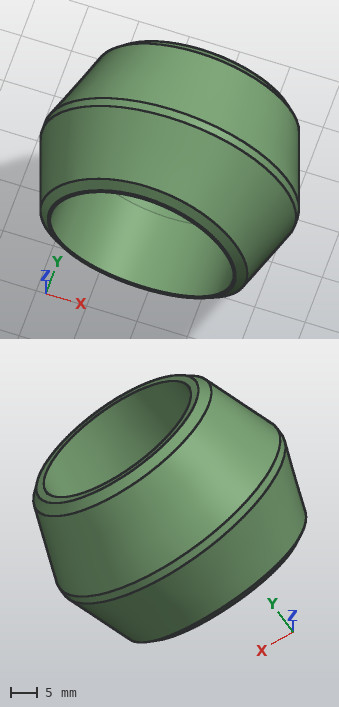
import cadquery as cq

band_diameter = 50.8
overall_length = 34.38

end_face_diameter = 36.7
end_bevel_diameter = 40.3
end_bevel_length = 1.7
band_start = 17.15
band_width = 1.75
cone_slope = (band_diameter - end_bevel_diameter) / 2 / (band_start - end_bevel_length)

bore_diameter = 36.5
end_bore_diameter = 33.3
taper_length = band_start + band_width / 2

saddle_radius = 161.9
saddle_chamfer = 1.45
saddle_rise = 1.08


def make_blank():
    """Solid of revolution about Y; the flat end lies at y = 0 and the body runs to -Y."""
    band_end = band_start + band_width
    blank_length = overall_length + saddle_rise
    blank_end_radius = band_diameter / 2 - cone_slope * (blank_length - band_end)
    return (
        cq.Workplane("ZY")
        .lineTo(end_face_diameter / 2, 0)
        .lineTo(end_bevel_diameter / 2, -end_bevel_length)
        .lineTo(band_diameter / 2, -band_start)
        .lineTo(band_diameter / 2, -band_end)
        .lineTo(blank_end_radius, -blank_length)
        .lineTo(0, -blank_length)
        .close()
        .revolve(360, (0, 0, 0), (0, 1, 0))
    )


def make_run_pipe():
    """Cylinder along Z whose crest cuts the saddle."""
    crest_y = -overall_length + saddle_rise
    return (
        cq.Workplane("XY")
        .center(0, crest_y - saddle_radius)
        .circle(saddle_radius)
        .extrude(band_diameter, both=True)
    )


def make_bore():
    """Straight bore with a conical reduction at the flat end."""
    bore_end = overall_length + saddle_rise
    return (
        cq.Workplane("XY")
        .lineTo(end_bore_diameter / 2, 0)
        .lineTo(bore_diameter / 2, -taper_length)
        .lineTo(bore_diameter / 2, -bore_end)
        .lineTo(0, -bore_end)
        .close()
        .revolve(360, (0, 0, 0), (0, 1, 0))
    )


def make_saddled_body():
    """Blank fitted to the run pipe, with its outer saddle edge bevelled."""
    body = make_blank().cut(make_run_pipe())
    return body.faces("<Y").edges().chamfer(saddle_chamfer)


result = make_saddled_body().cut(make_bore())